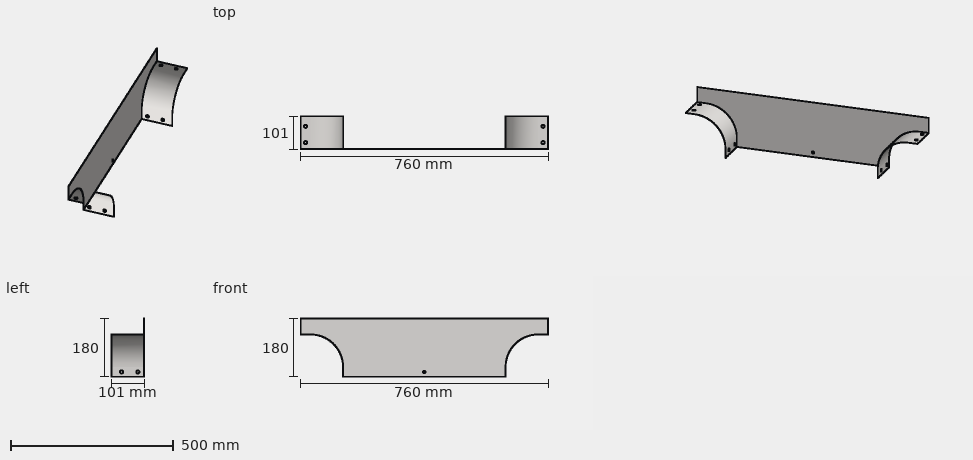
import cadquery as cq

length = 760.0
height = 180.0
depth = 101.0
thickness = 1.0

tab_height = 50.0
flat_length = 30.5
bend_radius = height - tab_height - flat_length
cutout_width = flat_length + bend_radius

flange_hole_diameter = 9.0
flange_hole_edge = 15.0
flange_hole_first = 20.0
flange_hole_spacing = 50.0
panel_hole_diameter = 7.0
panel_hole_height = 15.0

half_length = length / 2
cutout_top = height - tab_height
cutout_side = cutout_width - half_length
hole_overshoot = 7.5


def corner_profile(offset):
    """Solid filling the left corner cutout, grown by offset into the panel, over the full depth."""
    radius = bend_radius + offset
    return (
        cq.Workplane("XZ")
        .moveTo(-half_length, 0)
        .lineTo(cutout_side + offset, 0)
        .lineTo(cutout_side + offset, flat_length)
        .radiusArc((cutout_side - bend_radius, cutout_top + offset), -radius)
        .lineTo(-half_length, cutout_top + offset)
        .close()
        .extrude(-depth)
    )


def left_flange():
    """Bent strip with two holes in each of its flat ends."""
    strip = corner_profile(thickness).cut(corner_profile(0))
    hole_radius = flange_hole_diameter / 2
    hole_length = thickness + 2 * hole_overshoot
    for y in (flange_hole_first, flange_hole_first + flange_hole_spacing):
        upright_hole = cq.Solid.makeCylinder(
            hole_radius,
            hole_length,
            cq.Vector(flange_hole_edge - half_length, y, cutout_top - hole_overshoot),
            cq.Vector(0, 0, 1),
        )
        sideways_hole = cq.Solid.makeCylinder(
            hole_radius,
            hole_length,
            cq.Vector(cutout_side - hole_overshoot, y, flange_hole_edge),
            cq.Vector(1, 0, 0),
        )
        strip = strip.cut(cq.Workplane(upright_hole)).cut(cq.Workplane(sideways_hole))
    return strip


def panel():
    """Flat front sheet with both corner cutouts and the small hole near its lower edge."""
    sheet = cq.Workplane("XY").box(length, thickness, height, centered=(True, False, False))
    cutout = corner_profile(0)
    sheet = sheet.cut(cutout).cut(cutout.mirror("YZ"))
    hole = (
        cq.Workplane("XZ")
        .center(0, panel_hole_height)
        .circle(panel_hole_diameter / 2)
        .extrude(-thickness)
    )
    return sheet.cut(hole)


flange = left_flange()
result = panel().union(flange).union(flange.mirror("YZ"))